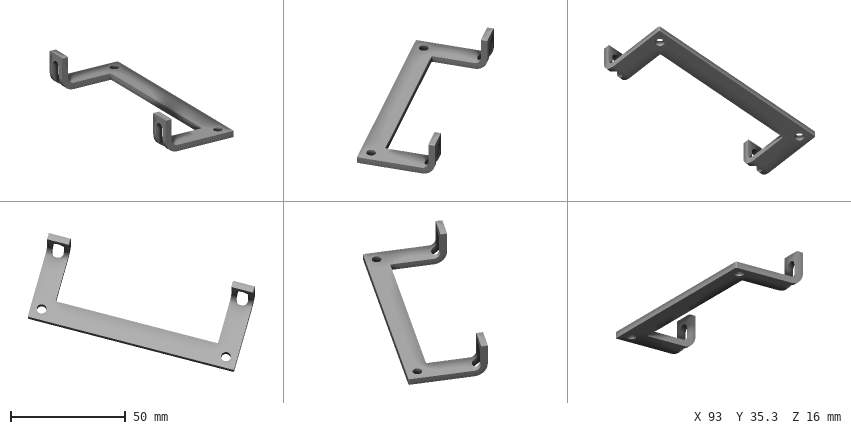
import cadquery as cq

length = 93.0
depth = 35.25
height = 16.0

thickness = 3.0
inner_bend_radius = 3.0
outer_bend_radius = inner_bend_radius + thickness
strip_width = 9.95
corner_radius = 0.5

hole_diameter = 4.2
slot_width = 5.3
slot_top = 12.7
slot_end_y = 5.9
end_reach = 4.2
end_height = 4.5
end_center_y = slot_end_y - end_reach
bend_axis = outer_bend_radius
slot_radius = slot_width / 2
leg_centers = (strip_width / 2, length - strip_width / 2)


def bent_profile():
    """Solid L-section sheet, swept along the full length."""
    return (
        cq.Workplane("YZ")
        .moveTo(depth, 0)
        .lineTo(outer_bend_radius, 0)
        .radiusArc((0, outer_bend_radius), outer_bend_radius)
        .lineTo(0, height)
        .lineTo(thickness, height)
        .lineTo(thickness, outer_bend_radius)
        .radiusArc((outer_bend_radius, thickness), -inner_bend_radius)
        .lineTo(depth, thickness)
        .close()
        .extrude(length)
    )


def center_opening():
    """Opening that leaves the rear strip and two legs, with rounded inner corners."""
    return (
        cq.Workplane("XY")
        .box(length - 2 * strip_width, depth - strip_width, height, centered=False)
        .edges("|Z and >Y")
        .fillet(corner_radius)
        .translate((strip_width, 0, 0))
    )


def mounting_hole(center_x):
    return (
        cq.Workplane("XY")
        .center(center_x, depth - strip_width / 2)
        .circle(hole_diameter / 2)
        .extrude(thickness)
    )


def bend_slot(center_x):
    """Slot in the upright tab that runs down into the bend; its round end fans out from the bend axis."""
    arch_center_z = slot_top - slot_radius
    arch = (
        cq.Workplane("XZ")
        .center(center_x, arch_center_z)
        .circle(slot_radius)
        .extrude(-thickness)
    )
    straight = (
        cq.Workplane("YZ", origin=(center_x, 0, 0))
        .polyline([
            (0, 0),
            (end_center_y, 0),
            (bend_axis, bend_axis),
            (bend_axis, arch_center_z),
            (0, arch_center_z),
        ])
        .close()
        .extrude(slot_radius, both=True)
    )
    upper_scale = 1 - end_height / bend_axis
    upper_center_y = bend_axis - upper_scale * (bend_axis - end_center_y)
    round_end = (
        cq.Workplane("XY")
        .center(center_x, end_center_y)
        .ellipse(slot_radius, end_reach, rotation_angle=180)
        .workplane(offset=end_height)
        .center(0, upper_center_y - end_center_y)
        .ellipse(slot_radius, end_reach * upper_scale, rotation_angle=180)
        .loft(ruled=True)
    )
    return arch.union(straight).union(round_end)


bracket = bent_profile().cut(center_opening())
bracket = bracket.edges("|Z and >Y").fillet(corner_radius)
bracket = bracket.faces(">Z").edges("|Y").fillet(corner_radius)

for leg_x in leg_centers:
    bracket = bracket.cut(mounting_hole(leg_x))
    bracket = bracket.cut(bend_slot(leg_x))

result = bracket.translate((-length / 2, -depth / 2, 0))